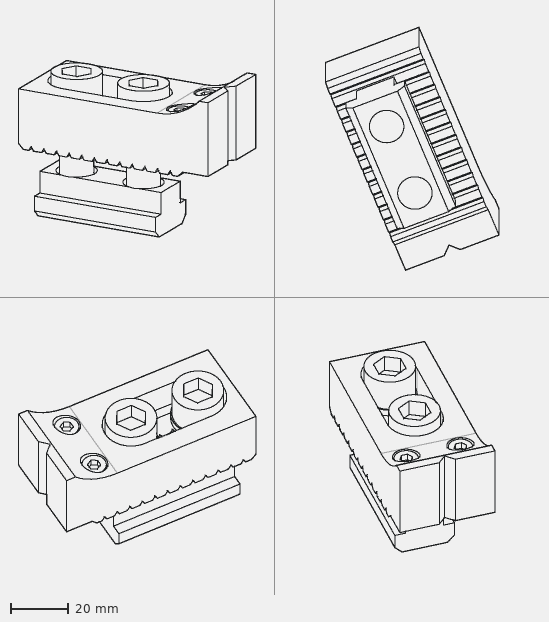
import cadquery as cq
import math

overall_length = 75
overall_width = 35.0
overall_height = 56.0

jaw_underside_z = 27.0
jaw_deck_z = 49.0
nose_underside_z = 28.9
nose_arc_start_x = 54.9
crest_start_x = 71.5
tooth_end_chamfer = nose_underside_z - jaw_underside_z
nose_notch_width = 6.0
nose_notch_depth = nose_notch_width / 2

groove_count = 12
last_groove_x = 60
groove_pitch = last_groove_x / groove_count
groove_depth = 1.6
groove_angle = 60
groove_width = 2 * groove_depth * math.tan(math.radians(groove_angle / 2))
toothed_end_x = 63.0

bolt_xs = (13.5, 40.0)
bolt_middle_x = sum(bolt_xs) / 2
bolt_spacing = bolt_xs[1] - bolt_xs[0]
shank_diameter = 12
flange_diameter = 19.0
flange_height = 2.5
head_diameter = 18
head_height = 12
bolt_socket_flats = 10.0
bolt_socket_depth = 6

slot_clearance = 0.5
wide_slot_width = flange_diameter + 2 * slot_clearance
narrow_slot_width = 13.05
slot_floor_z = 37.95

nut_length = 48
nut_width = 22.0
nut_neck_width = 14.0
nut_shoulder_z = 8.0
nut_top_z = 16.0
nut_chamfer = 2.6
nut_countersink_diameter = 14.4

cap_screw_x = last_groove_x
cap_screw_ys = (-10.0, 10.0)
cap_head_diameter = 8.5
cap_head_top_z = 48.75
cap_head_height = 5.0
cap_head_seat_z = cap_head_top_z - cap_head_height
cap_shank_diameter = 5.0
cap_shank_length = 10.0
cap_socket_flats = 4.0
cap_socket_depth = 2.5
cap_pocket_diameter = 9.5

corners_along_x = 0
corners_along_y = 30


def cylinder(x, y, bottom_z, top_z, diameter):
    """Upright cylinder between two heights."""
    disc = cq.Workplane("XY", origin=(x, y, bottom_z)).circle(diameter / 2)
    return disc.extrude(top_z - bottom_z)


def hex_socket(x, y, top_z, depth, flats, turn):
    """Upright hexagonal prism below top_z, turned about its own axis."""
    corner_diameter = flats / math.cos(math.pi / 6)
    plane = cq.Workplane("XY", origin=(x, y, top_z)).transformed(rotate=(0, 0, turn))
    return plane.polygon(6, corner_diameter).extrude(-depth)


def bolt_slot(width, bottom_z, top_z):
    """Round-ended slot whose end arcs are centred on the two bolts."""
    plane = cq.Workplane("XY", origin=(bolt_middle_x, 0, bottom_z))
    return plane.slot2D(bolt_spacing + width, width).extrude(top_z - bottom_z)


def make_cap_shank(y):
    """Plain shank below the head of a small screw; its hole in the jaw has the same shape."""
    shank_end_z = cap_head_seat_z - cap_shank_length
    return cylinder(cap_screw_x, y, shank_end_z, cap_head_seat_z, cap_shank_diameter)


def make_jaw():
    """Clamp jaw with its toothed underside, bolt slot, nose notch and screw pockets."""
    side_profile = (
        cq.Workplane("XZ")
        .moveTo(tooth_end_chamfer, jaw_underside_z)
        .lineTo(0, nose_underside_z)
        .lineTo(0, jaw_deck_z)
        .lineTo(nose_arc_start_x, jaw_deck_z)
        .tangentArcPoint((crest_start_x, overall_height), relative=False)
        .lineTo(overall_length, overall_height)
        .lineTo(overall_length, nose_underside_z)
        .lineTo(toothed_end_x + tooth_end_chamfer, nose_underside_z)
        .lineTo(toothed_end_x, jaw_underside_z)
        .close()
    )
    jaw = side_profile.extrude(overall_width / 2, both=True)

    for number in range(1, groove_count + 1):
        groove_x = number * groove_pitch
        groove = (
            cq.Workplane("XZ")
            .moveTo(groove_x - groove_width / 2, jaw_underside_z)
            .lineTo(groove_x, jaw_underside_z + groove_depth)
            .lineTo(groove_x + groove_width / 2, jaw_underside_z)
            .close()
            .extrude(overall_width / 2, both=True)
        )
        jaw = jaw.cut(groove)

    jaw = jaw.cut(bolt_slot(wide_slot_width, slot_floor_z, overall_height))
    jaw = jaw.cut(bolt_slot(narrow_slot_width, jaw_underside_z, slot_floor_z))

    nose_notch = (
        cq.Workplane("XY")
        .moveTo(overall_length, -nose_notch_width / 2)
        .lineTo(overall_length - nose_notch_depth, 0)
        .lineTo(overall_length, nose_notch_width / 2)
        .close()
        .extrude(overall_height)
    )
    jaw = jaw.cut(nose_notch)

    for y in cap_screw_ys:
        pocket = cylinder(cap_screw_x, y, cap_head_seat_z, overall_height, cap_pocket_diameter)
        jaw = jaw.cut(pocket).cut(make_cap_shank(y))
    return jaw


def make_nut():
    """T-nut with a countersunk hole for each bolt."""
    half_width = nut_width / 2
    half_neck = nut_neck_width / 2
    end_profile = cq.Workplane("YZ", origin=(bolt_middle_x, 0, 0)).polyline([
        (half_width - nut_chamfer, 0),
        (half_width, nut_chamfer),
        (half_width, nut_shoulder_z),
        (half_neck, nut_shoulder_z),
        (half_neck, nut_top_z),
        (-half_neck, nut_top_z),
        (-half_neck, nut_shoulder_z),
        (-half_width, nut_shoulder_z),
        (-half_width, nut_chamfer),
        (nut_chamfer - half_width, 0),
    ]).close()
    nut = end_profile.extrude(nut_length / 2, both=True)

    countersink_depth = (nut_countersink_diameter - shank_diameter) / 2
    for x in bolt_xs:
        hole = cylinder(x, 0, 0, nut_top_z, shank_diameter)
        countersink = cq.Workplane(cq.Solid.makeCone(
            shank_diameter / 2,
            nut_countersink_diameter / 2,
            countersink_depth,
            pnt=cq.Vector(x, 0, nut_top_z - countersink_depth),
        ))
        nut = nut.cut(hole).cut(countersink)
    return nut


def make_bolt(x):
    """Flanged socket-head bolt, from its seat in the jaw down to the underside of the nut."""
    flange_top_z = slot_floor_z + flange_height
    head_top_z = flange_top_z + head_height
    shank = cylinder(x, 0, 0, slot_floor_z, shank_diameter)
    flange = cylinder(x, 0, slot_floor_z, flange_top_z, flange_diameter)
    head = cylinder(x, 0, flange_top_z, head_top_z, head_diameter)
    socket = hex_socket(x, 0, head_top_z, bolt_socket_depth, bolt_socket_flats, corners_along_x)
    return shank.union(flange).union(head).cut(socket)


def make_cap_screw(y):
    """Small socket-head screw standing in its pocket in the nose."""
    head = cylinder(cap_screw_x, y, cap_head_seat_z, cap_head_top_z, cap_head_diameter)
    socket = hex_socket(
        cap_screw_x, y, cap_head_top_z, cap_socket_depth, cap_socket_flats, corners_along_y
    )
    return make_cap_shank(y).union(head).cut(socket)


jaw = make_jaw()
nut = make_nut()
bolts = [make_bolt(x) for x in bolt_xs]
cap_screws = [make_cap_screw(y) for y in cap_screw_ys]

result = cq.Compound.makeCompound([
    jaw.val(),
    nut.val(),
    *[bolt.val() for bolt in bolts],
    *[cap_screw.val() for cap_screw in cap_screws],
])